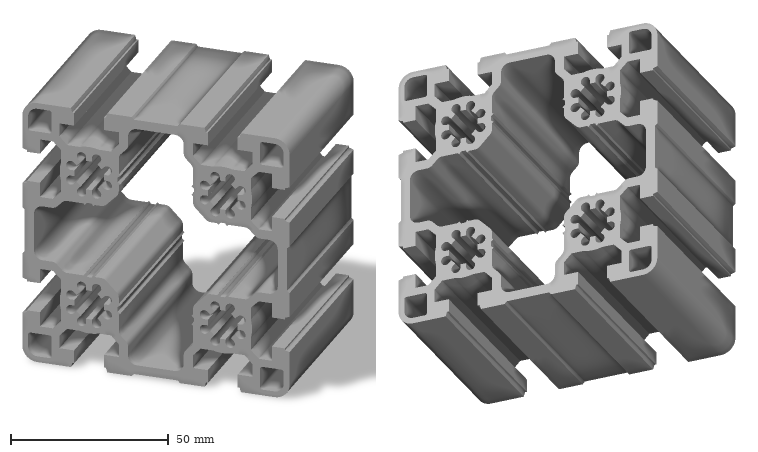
import cadquery as cq
import math

side = 90.0
length = 60.0
half_side = side / 2
cell_centre = side / 4
corner_radius = 5.0

mouth_half = 6.1
mouth_step_half = 5.7
mouth_step_depth = 1.5
slot_half = 5.0
lip_thickness = 5.9
channel_half = 10.0
channel_wall_depth = 10.35
floor_half = 7.4
floor_depth = 13.05
dome_half = 3.2
dome_height = 0.45

recess_depth = 0.8
recess_mouth_half = 8.1
recess_floor_half = 7.4

hollow_wall = 2.0
hollow_size = 7.9
hollow_small_radius = 0.8

tooth_count = 8
tooth_half = 1.0
tooth_tip_radius = 4.95
lobe_tip_radius = 8.2

arm_end_depth = 4.0
arm_reach = half_side - arm_end_depth
arm_half = 9.4
hub_half = 12.5
arm_bevel_end = 34.0
hub_bevel_start = 17.5
arm_corner_radius = 3.0
bend_radius = 2.5

groove_half = 0.8
groove_depth = 0.4
ridge_peak_half = 1.4
ridge_height = 0.5
ridge_foot_half = 1.9


def section():
    """Sketch plane at the front end; extruding by -length runs towards +Y."""
    return cq.Workplane("XZ", origin=(0, -length / 2, 0))


def around_axis(body):
    """Yield the body turned to each of the four sides."""
    for turn in range(4):
        yield body.rotate((0, 0, 0), (0, 1, 0), 90 * turn)


def on_each_cell(body):
    """Yield a body made for the middle of the top side at all eight cell faces."""
    for x in (-cell_centre, cell_centre):
        yield from around_axis(body.translate((x, 0, 0)))


def mirrored_outline(half_points):
    """Close a polygon from its right half, listed from one end to the other."""
    left_points = [(-x, z) for x, z in reversed(half_points)]
    return section().polyline(half_points + left_points).close().extrude(-length)


def t_slot():
    channel_top = half_side - lip_thickness
    floor = half_side - floor_depth
    step = half_side - mouth_step_depth
    wall_end = half_side - channel_wall_depth
    right = [
        (mouth_half, half_side),
        (mouth_step_half, step),
        (slot_half, step),
        (slot_half, channel_top),
        (channel_half, channel_top),
        (channel_half, wall_end),
        (floor_half, floor),
        (dome_half, floor),
    ]
    left = [(-x, z) for x, z in reversed(right)]
    outline = section().polyline(right)
    outline = outline.threePointArc((0, floor + dome_height), left[0])
    for point in left[1:]:
        outline = outline.lineTo(*point)
    return outline.close().extrude(-length)


def side_recess():
    return mirrored_outline([
        (recess_mouth_half, half_side),
        (recess_floor_half, half_side - recess_depth),
    ])


def corner_hollow():
    centre = half_side - hollow_wall - hollow_size / 2
    hollow = section().center(centre, centre).rect(hollow_size, hollow_size).extrude(-length)
    hollow = hollow.edges("|Y and >X and >Z").fillet(corner_radius - hollow_wall)
    return hollow.edges("|Y and (<X or <Z)").fillet(hollow_small_radius)


def screw_bore():
    half_pitch = math.pi / tooth_count
    lobe_centre = (lobe_tip_radius + tooth_half) / (1 + math.sin(half_pitch))
    flank_end = lobe_centre * math.cos(half_pitch)

    def turned(radial, across, angle):
        x = radial * math.cos(angle) - across * math.sin(angle)
        z = radial * math.sin(angle) + across * math.cos(angle)
        return x, z

    outline = section().moveTo(tooth_tip_radius, -tooth_half)
    for index in range(tooth_count):
        tooth = 2 * half_pitch * index
        next_tooth = tooth + 2 * half_pitch
        outline = outline.lineTo(*turned(tooth_tip_radius, tooth_half, tooth))
        outline = outline.lineTo(*turned(flank_end, tooth_half, tooth))
        outline = outline.threePointArc(
            turned(lobe_tip_radius, 0, tooth + half_pitch),
            turned(flank_end, -tooth_half, next_tooth),
        )
        if index < tooth_count - 1:
            outline = outline.lineTo(*turned(tooth_tip_radius, -tooth_half, next_tooth))
    return outline.close().extrude(-length)


def central_cavity():
    bevel_run = hub_half - arm_half
    arm_side = [
        (arm_reach, arm_half),
        (arm_bevel_end, arm_half),
        (arm_bevel_end - bevel_run, hub_half),
        (hub_bevel_start, hub_half),
    ]
    quarter = arm_side + [(z, x) for x, z in reversed(arm_side)]
    points = []
    for _ in range(4):
        points += quarter
        quarter = [(-z, x) for x, z in quarter]
    cavity = section().polyline(points).close().extrude(-length)

    def at_arm_end(edge):
        reach = max(abs(edge.Center().x), abs(edge.Center().z))
        return reach > (arm_bevel_end + arm_reach) / 2

    cavity = cavity.edges("|Y").filter(at_arm_end).fillet(arm_corner_radius)
    bends = cavity.edges("|Y").filter(lambda edge: not at_arm_end(edge))
    return bends.fillet(bend_radius)


def ridge_block():
    return mirrored_outline([
        (ridge_foot_half, hub_half),
        (ridge_peak_half, hub_half - ridge_height),
    ])


def ridge_groove():
    return mirrored_outline([
        (ridge_peak_half, hub_half - ridge_height),
        (groove_half, hub_half + groove_depth),
    ])


result = section().rect(side, side).extrude(-length).edges("|Y").fillet(corner_radius)
result = result.cut(central_cavity())
for recess in around_axis(side_recess()):
    result = result.cut(recess)
for hollow in around_axis(corner_hollow()):
    result = result.cut(hollow)
for bore in around_axis(screw_bore().translate((cell_centre, 0, cell_centre))):
    result = result.cut(bore)
for slot in on_each_cell(t_slot()):
    result = result.cut(slot)
for block in on_each_cell(ridge_block()):
    result = result.union(block)
for groove in on_each_cell(ridge_groove()):
    result = result.cut(groove)